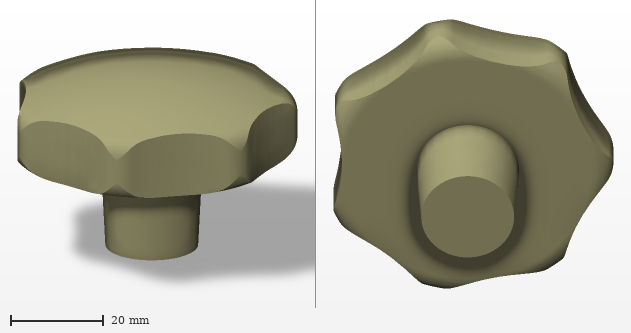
import cadquery as cq
import math

total_height = 40.0
stem_height = 20.95

stem_bottom_radius = 10.05
stem_top_radius = 11.1

lobe_count = 7
tip_radius = 31.5
round_radius = 4.45
flute_floor = 27.2
dome_radius = 80.15

lobe_pitch = 360 / lobe_count
round_centre = tip_radius - round_radius


def make_blank():
    """Revolved head: flat underside, rounded rim tangent to the domed top."""
    dome_centre_z = total_height - dome_radius
    centre_distance = dome_radius - round_radius
    upper_centre_z = dome_centre_z + math.sqrt(centre_distance**2 - round_centre**2)
    lower_centre_z = stem_height + round_radius
    join_angle = math.acos(round_centre / centre_distance)

    def on_dome(angle):
        return (dome_radius * math.cos(angle), dome_centre_z + dome_radius * math.sin(angle))

    def on_round(angle, centre_z):
        return (round_centre + round_radius * math.cos(angle), centre_z + round_radius * math.sin(angle))

    return (
        cq.Workplane("XZ")
        .moveTo(0, stem_height)
        .lineTo(round_centre, stem_height)
        .threePointArc(on_round(-math.pi / 4, lower_centre_z), (tip_radius, lower_centre_z))
        .lineTo(tip_radius, upper_centre_z)
        .threePointArc(on_round(join_angle / 2, upper_centre_z), on_dome(join_angle))
        .threePointArc(on_dome((join_angle + math.pi / 2) / 2), (0, total_height))
        .close()
        .revolve(360, (0, 0), (0, 1))
    )


def polar(radius, degrees):
    angle = math.radians(degrees)
    return (radius * math.cos(angle), radius * math.sin(angle))


def make_lobed_prism():
    """Star outline of convex noses joined by tangent concave flutes."""
    nose_x, nose_y = polar(round_centre, lobe_pitch / 2)
    gap = flute_floor - nose_x
    flute_radius = (gap**2 + nose_y**2 - round_radius**2) / (2 * (round_radius - gap))
    flute_centre = flute_floor + flute_radius

    share = round_radius / (round_radius + flute_radius)
    tangent_x = nose_x + share * (flute_centre - nose_x)
    tangent_y = nose_y * (1 - share)
    tangent_radius = math.hypot(tangent_x, tangent_y)
    tangent_angle = math.degrees(math.atan2(tangent_y, tangent_x))

    first_flute = 90 + lobe_pitch / 2
    outline = cq.Workplane("XY").workplane(offset=stem_height)
    outline = outline.moveTo(*polar(tangent_radius, first_flute - tangent_angle))
    for index in range(lobe_count):
        flute = first_flute + index * lobe_pitch
        next_flute = flute + lobe_pitch
        outline = outline.threePointArc(
            polar(flute_floor, flute), polar(tangent_radius, flute + tangent_angle)
        )
        outline = outline.threePointArc(
            polar(tip_radius, flute + lobe_pitch / 2),
            polar(tangent_radius, next_flute - tangent_angle),
        )
    return outline.close().extrude(total_height - stem_height)


def make_stem():
    """Tapered stem, wider where it meets the head."""
    return (
        cq.Workplane("XY")
        .circle(stem_bottom_radius)
        .workplane(offset=stem_height)
        .circle(stem_top_radius)
        .loft(ruled=True)
    )


head = make_blank().intersect(make_lobed_prism())
result = head.union(make_stem())